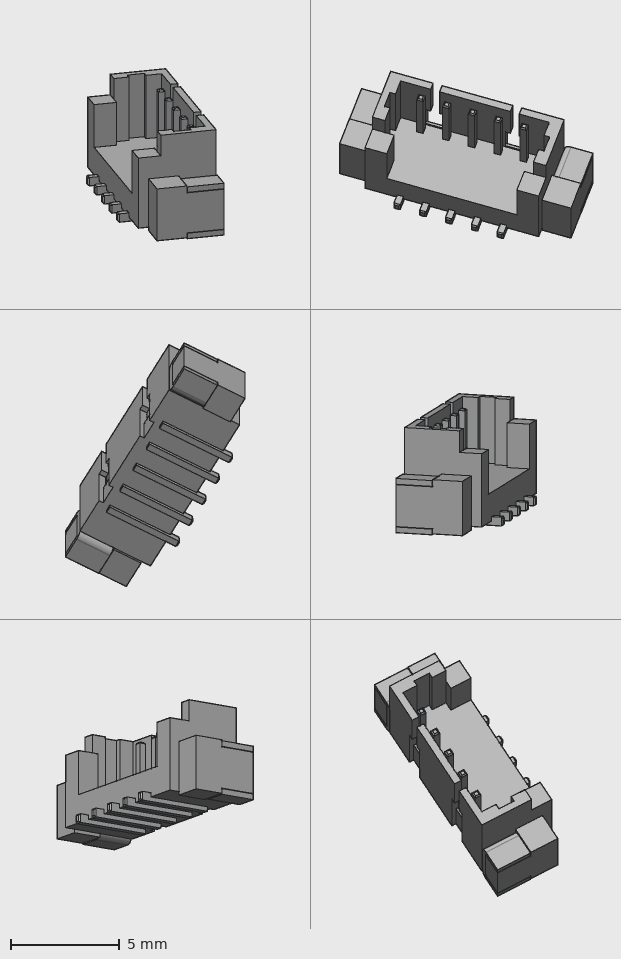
import cadquery as cq


total_width = 11.2
total_height = 4.66
housing_width = 8.4
housing_depth = 3.72
housing_bottom = 0.21
floor_height = 1.56

back_wall = 0.36
cavity_width = 7.19
keyway_width = 7.73
keyway_back = 1.11
keyway_front = 1.92

post_height = 3.65
post_back = 2.64
opening_width = 6.3

latch_spacing = 3.85
latch_slot_width = 0.43
latch_window_width = 0.92
latch_window_top = 2.81
latch_sill_height = 1.66
latch_groove_depth = 0.22

wing_back = 0.02
wing_front = 3.23
wing_bottom = 0.05
wing_top = 2.59
wing_length = (total_width - housing_width) / 2
wing_center = (total_width + housing_width) / 4

pin_count = 5
pin_row_length = 5.0
pin_pitch = pin_row_length / (pin_count - 1)
pin_width = 0.31
pin_setback = 0.7
pin_top = 4.32
foot_height = 0.41
foot_front = 4.25
tip_chamfer = 0.07

clip_height = 2.54
clip_thickness = 0.27
clip_bend_radius = 0.31
clip_front = 1.77
clip_clearance = 0.02
clip_web = housing_width / 2 + clip_clearance


def block(width, back, front, bottom, top, center_x=0.0):
    """Box centred on center_x, spanning two distances from the back face."""
    return (
        cq.Workplane("XY", origin=(center_x, -(back + front) / 2, bottom))
        .rect(width, front - back)
        .extrude(top - bottom)
    )


def make_shell():
    """Housing body with its cavity, keyways and low open front."""
    shell = block(housing_width, 0, housing_depth, housing_bottom, total_height)
    shell = shell.cut(block(cavity_width, back_wall, post_back, floor_height, total_height))
    shell = shell.cut(block(keyway_width, keyway_back, keyway_front, floor_height, total_height))
    shell = shell.cut(block(opening_width, post_back, housing_depth, floor_height, total_height))
    return shell.cut(block(housing_width, post_back, housing_depth, post_height, total_height))


def make_latch_cut(center_x):
    """Narrow slot above a wide window, with a groove running out below the sill."""
    slot = block(latch_slot_width, 0, back_wall, latch_sill_height, total_height, center_x)
    window = block(latch_window_width, 0, back_wall, latch_sill_height, latch_window_top, center_x)
    groove = block(
        latch_window_width, 0, latch_groove_depth, housing_bottom, latch_sill_height, center_x
    )
    return slot.union(window).union(groove)


def make_pin(center_x):
    """L-shaped square contact: upright blade and forward solder foot, both with tapered tips."""
    pin_back = pin_setback - pin_width / 2
    blade = (
        block(pin_width, pin_back, pin_back + pin_width, 0, pin_top, center_x)
        .faces(">Z")
        .chamfer(tip_chamfer)
    )
    foot = (
        block(pin_width, pin_back, foot_front, 0, foot_height, center_x)
        .faces("<Y")
        .chamfer(tip_chamfer)
    )
    return blade.union(foot)


def outward_bar(start_x, bottom, top, corner_radius):
    """Bar from start_x to the outer end, as deep as the clip, rounded on its two inner edges."""
    length = total_width / 2 - start_x
    bar = block(length, wing_back, clip_front, bottom, top, start_x + length / 2)
    return bar.edges("|Y and <X").fillet(corner_radius)


def make_clip():
    """Right-hand C-shaped clip opening to +X, its web beside the housing wall."""
    outer = outward_bar(clip_web, 0, clip_height, clip_bend_radius)
    hollow = outward_bar(
        clip_web + clip_thickness,
        clip_thickness,
        clip_height - clip_thickness,
        clip_bend_radius - clip_thickness,
    )
    return outer.cut(hollow)


def make_wing():
    """Right-hand mounting wing, cut away around the clip but with a core between its tabs."""
    wing = block(wing_length, wing_back, wing_front, wing_bottom, wing_top, wing_center)
    seat_front = clip_front + clip_clearance
    seat = block(wing_length, wing_back, seat_front, wing_bottom, wing_top, wing_center)
    core_inset = clip_thickness + clip_clearance
    core_start = clip_web + core_inset
    core_length = total_width / 2 - core_start
    core = block(
        core_length,
        wing_back,
        seat_front,
        core_inset,
        clip_height - core_inset,
        core_start + core_length / 2,
    )
    return wing.cut(seat).union(core)


def make_housing():
    housing = make_shell()
    for side in (-1, 1):
        housing = housing.cut(make_latch_cut(side * latch_spacing / 2))
    wing = make_wing()
    housing = housing.union(wing).union(wing.mirror("YZ"))
    for index in range(pin_count):
        housing = housing.union(make_pin(index * pin_pitch - pin_row_length / 2))
    return housing


housing = make_housing()
right_clip = make_clip()
clips = [right_clip, right_clip.mirror("YZ")]
result = cq.Compound.makeCompound([housing.val(), *[clip.val() for clip in clips]])